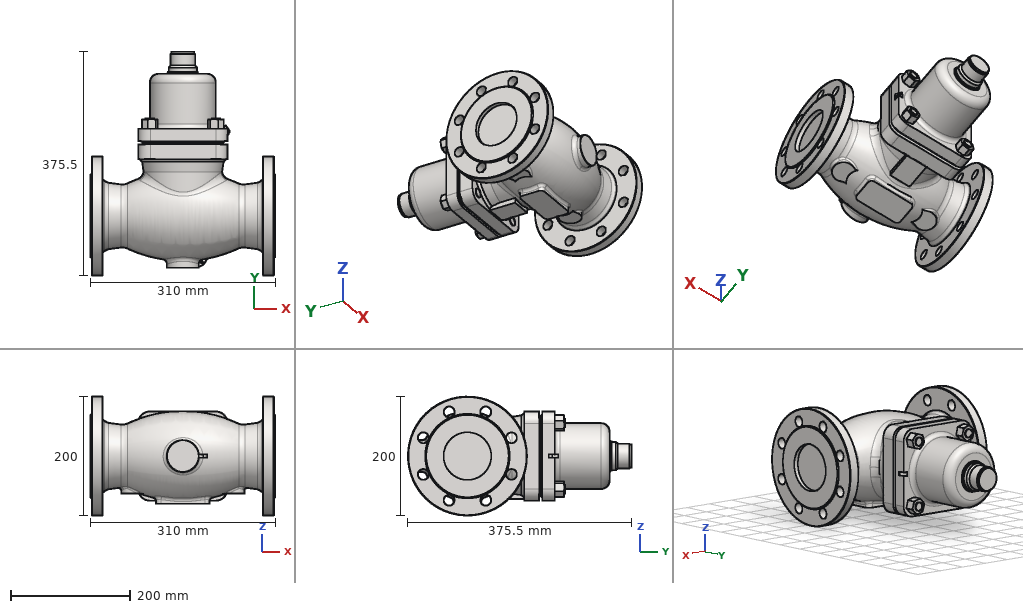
import cadquery as cq
import math

face_to_face = 310.0
raised_face_height = 2.0
raised_face_dia = 138.0
raised_face_root_dia = raised_face_dia + 2 * raised_face_height
flange_dia = 200.0
flange_thickness = 19.0
flange_edge_chamfer = 1.0
flange_hole_dia = 18.0
flange_hole_circle_dia = 160.0
flange_hole_count = 8
port_dia = 80.0
port_depth = 8.0

flange_front_x = face_to_face / 2 - raised_face_height
flange_back_x = flange_front_x - flange_thickness

run_seam_turn = 135.0
hub_root_radius = 61.0
hub_root_x, hub_foot_radius = 131.7, 59.5
hub_flare_mid_x, hub_flare_mid_radius = 128.5, 57.4
hub_flare_x, hub_flare_radius = 125.0, 56.0
throat_x, throat_radius = 104.0, 53.2
throat_mid_x = 99.0
barrel_end_x, barrel_end_radius = 93.5, 54.5
barrel_radius = 75.5

boss_dia = 54.0
boss_end_y = -87.0
boss_edge_chamfer = 0.5
boss_fillet = 7.5

neck_bend_y = 74.0
neck_bend_radius = 66.0
neck_top_radius = 68.5
neck_blend_radius = 15.0
neck_collar_y = 90.5
neck_collar_radius = 72.5
square_width = 150.0
square_corner_radius = 20.0
lower_square_y = 95.2
lower_square_top_y = 120.0
gasket_dia = 120.0
upper_spigot_y = 122.5
spigot_width = 140.0
spigot_corner_radius = 15.0
spigot_overlap = 1.0
upper_square_y = 125.4
upper_square_top_y = 146.6

stud_pitch = 111.0
stud_dia = 16.0
stud_end_recess = 1.0
nut_across_flats = 24.0
nut_height = 15.5
nut_turn = -15.0
nut_corner_chamfer = 1.2
stud_tip_dia = 14.7
stud_tip_height = 2.0

dome_dia = 111.0
dome_top_y = 238.6
dome_edge_radius = 15.0
dome_foot_radius = 8.0
collar_dia = 50.0
collar_root_radius = 26.5
collar_y = 240.2
collar_top_y = 241.6
cap_base_dia = 48.0
cap_base_top_y = 248.5
cap_dia = 42.0
cap_y = 252.4
cap_top_y = 272.0
cap_edge_chamfer = 1.0
tip_dia = 39.0
stem_end_y = 275.5

centre_foot_length = 90.0
centre_foot_width = 47.0
centre_foot_corner_radius = 8.0
centre_foot_z = -80.0
centre_foot_fillet = 6.0
side_foot_x = 84.0
side_foot_dia = 39.0
side_foot_z = -63.0
side_foot_fillet = 4.0
neck_rib_width = 40.0
neck_rib_z = -72.0
neck_rib_start_y = 45.0

lug_thickness = 6.0
boss_lug_hole_x, boss_lug_hole_y = 32.0, -77.6
boss_lug_hole_dia = 3.0
boss_lug_outline = [
    (20.0, -84.0),
    (27.0, -85.5),
    (34.0, -82.0),
    (38.0, -77.0),
    (41.0, -71.5),
    (41.0, -60.0),
    (20.0, -60.0),
]
cover_lug_outline = [
    (66.0, 140.0),
    (66.0, 146.0),
    (72.0, 152.0),
    (79.0, 142.0),
    (76.0, 136.0),
]

selection_margin = 1.0


def cylinder_y(diameter, y_start, y_end, x=0.0, z=0.0):
    """Cylinder parallel to Y."""
    direction = cq.Vector(0, 1 if y_end > y_start else -1, 0)
    return cq.Workplane(
        cq.Solid.makeCylinder(diameter / 2, abs(y_end - y_start), cq.Vector(x, y_start, z), direction)
    )


def section_y(y):
    """Workplane at height y, extruding toward +Y."""
    return cq.Workplane("XZ", origin=(0, y, 0)).transformed(rotate=(180, 0, 0))


def make_run():
    """Barrel, throats and hubs as one revolved solid."""
    return (
        cq.Workplane("XY")
        .moveTo(-flange_back_x, 0)
        .lineTo(-flange_back_x, hub_root_radius)
        .lineTo(-hub_root_x, hub_foot_radius)
        .threePointArc((-hub_flare_mid_x, hub_flare_mid_radius), (-hub_flare_x, hub_flare_radius))
        .lineTo(-throat_x, throat_radius)
        .threePointArc((-throat_mid_x, throat_radius), (-barrel_end_x, barrel_end_radius))
        .threePointArc((0, barrel_radius), (barrel_end_x, barrel_end_radius))
        .threePointArc((throat_mid_x, throat_radius), (throat_x, throat_radius))
        .lineTo(hub_flare_x, hub_flare_radius)
        .threePointArc((hub_flare_mid_x, hub_flare_mid_radius), (hub_root_x, hub_foot_radius))
        .lineTo(flange_back_x, hub_root_radius)
        .lineTo(flange_back_x, 0)
        .close()
        .revolve(360, (0, 0, 0), (1, 0, 0))
        .rotate((0, 0, 0), (1, 0, 0), run_seam_turn)
    )


def make_neck():
    """Conical neck rising from the barrel to the lower square flange."""
    return (
        cq.Workplane("XY")
        .polyline([
            (0, 0),
            (neck_bend_radius, 0),
            (neck_bend_radius, neck_bend_y),
            (neck_top_radius, neck_collar_y),
            (neck_collar_radius, lower_square_y),
            (0, lower_square_y),
        ])
        .close()
        .revolve(360, (0, 0, 0), (0, 1, 0))
    )


def make_flange():
    """Pipe flange on the -X end with its raised face."""
    disc = (
        cq.Workplane("YZ", origin=(-flange_front_x, 0, 0))
        .circle(flange_dia / 2)
        .extrude(flange_thickness)
        .edges()
        .chamfer(flange_edge_chamfer)
    )
    raised_face = cq.Workplane(cq.Solid.makeCone(
        raised_face_root_dia / 2, raised_face_dia / 2, raised_face_height,
        cq.Vector(-flange_front_x, 0, 0), cq.Vector(-1, 0, 0),
    ))
    return disc.union(raised_face)


def flange_cuts():
    """Bolt holes and blind port of the -X flange."""
    holes = (
        cq.Workplane("YZ", origin=(-flange_front_x, 0, 0))
        .polarArray(flange_hole_circle_dia / 2, 180 / flange_hole_count, 360, flange_hole_count)
        .circle(flange_hole_dia / 2)
        .extrude(flange_thickness)
    )
    port = cq.Workplane("YZ", origin=(-face_to_face / 2, 0, 0)).circle(port_dia / 2).extrude(port_depth)
    return holes.union(port)


def make_square_plate(y_start, y_end):
    """Square flange with rounded corners."""
    return (
        section_y(y_start)
        .rect(square_width, square_width)
        .extrude(y_end - y_start)
        .edges("|Y")
        .fillet(square_corner_radius)
    )


def make_spigot():
    """Square spigot under the upper square flange, its lower rim chamfered at 45 degrees."""
    depth = upper_square_y - upper_spigot_y
    return (
        section_y(upper_spigot_y)
        .rect(spigot_width, spigot_width)
        .extrude(depth + spigot_overlap)
        .edges("|Y")
        .fillet(spigot_corner_radius)
        .faces("<Y")
        .chamfer(depth)
    )


def make_bonnet():
    """Dome, collar and stem cap revolved about Y, standing on the upper square flange."""
    dome_radius = dome_dia / 2
    foot_mid = dome_foot_radius * (1 - math.sqrt(0.5))
    edge_mid = dome_edge_radius * (1 - math.sqrt(0.5))
    return (
        cq.Workplane("XY")
        .moveTo(0, upper_square_top_y)
        .lineTo(dome_radius + dome_foot_radius, upper_square_top_y)
        .threePointArc(
            (dome_radius + foot_mid, upper_square_top_y + foot_mid),
            (dome_radius, upper_square_top_y + dome_foot_radius),
        )
        .lineTo(dome_radius, dome_top_y - dome_edge_radius)
        .threePointArc(
            (dome_radius - edge_mid, dome_top_y - edge_mid),
            (dome_radius - dome_edge_radius, dome_top_y),
        )
        .lineTo(collar_root_radius, dome_top_y)
        .lineTo(collar_dia / 2, collar_y)
        .lineTo(collar_dia / 2, collar_top_y)
        .lineTo(cap_base_dia / 2, collar_top_y)
        .lineTo(cap_base_dia / 2, cap_base_top_y)
        .lineTo(cap_dia / 2, cap_y)
        .lineTo(cap_dia / 2, cap_top_y - cap_edge_chamfer)
        .lineTo(cap_dia / 2 - cap_edge_chamfer, cap_top_y)
        .lineTo(tip_dia / 2, cap_top_y)
        .lineTo(tip_dia / 2, stem_end_y)
        .lineTo(0, stem_end_y)
        .close()
        .revolve(360, (0, 0, 0), (0, 1, 0))
    )


def make_nut():
    """Hexagon nut at the axis, its outer corners turned to a cone."""
    across_corners = nut_across_flats / math.cos(math.pi / 6)
    hexagon = (
        section_y(upper_square_top_y)
        .polygon(6, across_corners)
        .extrude(nut_height)
    )
    turned = (
        section_y(upper_square_top_y)
        .circle(across_corners / 2)
        .extrude(nut_height)
        .faces(">Y")
        .chamfer(nut_corner_chamfer)
    )
    return hexagon.intersect(turned).rotate((0, 0, 0), (0, 1, 0), nut_turn)


def make_fasteners():
    """Four studs with nuts, repeated by quarter turns about Y."""
    offset = stud_pitch / 2
    nut_top_y = upper_square_top_y + nut_height
    stud = cylinder_y(stud_dia, lower_square_top_y, upper_square_y)
    tip = cylinder_y(stud_tip_dia, nut_top_y, nut_top_y + stud_tip_height)
    first = make_nut().union(stud).union(tip).translate((offset, 0, offset))
    fasteners = first
    for quarter in range(1, 4):
        fasteners = fasteners.union(first.rotate((0, 0, 0), (0, 1, 0), 90 * quarter))
    return fasteners


def stud_recesses():
    """Shallow stud-end recesses in the underside of the lower square flange."""
    offset = stud_pitch / 2
    recesses = cq.Workplane("XY")
    for x in (-offset, offset):
        for z in (-offset, offset):
            recesses = recesses.add(
                cylinder_y(stud_dia, lower_square_y, lower_square_y + stud_end_recess, x, z)
            )
    return recesses.combine()


def make_lug(outline):
    """Plate lug centred on Z = 0 with the given outline in X and Y."""
    return cq.Workplane("XY").polyline(outline).close().extrude(lug_thickness / 2, both=True)


def make_boss_lug():
    """Drilled seal-wire lug filling the corner between the drain boss and the barrel."""
    hole = (
        cq.Workplane("XY")
        .center(boss_lug_hole_x, boss_lug_hole_y)
        .circle(boss_lug_hole_dia / 2)
        .extrude(lug_thickness, both=True)
    )
    return make_lug(boss_lug_outline).cut(hole)


def add_drain_boss(body):
    """Drain boss blended into the barrel."""
    boss = cylinder_y(boss_dia, 0, boss_end_y).faces("<Y").chamfer(boss_edge_chamfer)
    half = boss_dia / 2
    joint = cq.selectors.BoxSelector((-half, boss_end_y, -half), (half, -barrel_end_radius, half))
    return body.union(boss).edges(joint).edges("%BSPLINE").fillet(boss_fillet)


def add_side_feet(body):
    """Round feet under the throats, blended where they leave the barrel ends."""
    feet = (
        cq.Workplane("XY", origin=(0, 0, side_foot_z))
        .pushPoints([(-side_foot_x, 0), (side_foot_x, 0)])
        .circle(side_foot_dia / 2)
        .extrude(-side_foot_z)
    )
    outer_x = side_foot_x + side_foot_dia / 2 + selection_margin
    half_width = side_foot_dia / 2 + selection_margin
    joint = cq.selectors.BoxSelector(
        (-outer_x, -half_width, side_foot_z + selection_margin / 2), (outer_x, half_width, 0)
    )
    return body.union(feet).edges(joint).edges("%BSPLINE").edges("<X or >X").fillet(side_foot_fillet)


def add_centre_foot(body):
    """Rectangular foot under the barrel, blended into it all round."""
    foot = (
        cq.Workplane("XY", origin=(0, 0, centre_foot_z))
        .rect(centre_foot_length, centre_foot_width)
        .extrude(-centre_foot_z)
        .edges("|Z")
        .fillet(centre_foot_corner_radius)
    )
    half_length = centre_foot_length / 2 + selection_margin
    half_width = centre_foot_width / 2 + selection_margin
    joint = cq.selectors.BoxSelector(
        (-half_length, -half_width, centre_foot_z), (half_length, half_width, -barrel_end_radius)
    )
    return body.union(foot).edges(joint).edges("%BSPLINE").fillet(centre_foot_fillet)


def make_neck_rib():
    """Flat rib under the neck, running out to the lower square flange."""
    return cq.Workplane("XY", origin=(-neck_rib_width / 2, neck_rib_start_y, neck_rib_z)).box(
        neck_rib_width, lower_square_y - neck_rib_start_y, -neck_rib_z, centered=False
    )


body = make_run().union(make_neck()).edges("%BSPLINE").fillet(neck_blend_radius)
body = add_drain_boss(body)
body = add_centre_foot(body)
body = add_side_feet(body)
body = body.union(make_neck_rib()).union(make_boss_lug())

flange = make_flange()
cuts = flange_cuts()
body = body.union(flange).union(flange.mirror("YZ"))
body = body.cut(cuts).cut(cuts.mirror("YZ"))

body = body.union(make_square_plate(lower_square_y, lower_square_top_y)).cut(stud_recesses())
body = body.union(cylinder_y(gasket_dia, lower_square_top_y, upper_spigot_y))
body = body.union(make_spigot())
body = body.union(make_square_plate(upper_square_y, upper_square_top_y))
body = body.union(make_bonnet()).union(make_lug(cover_lug_outline)).union(make_fasteners())

result = body